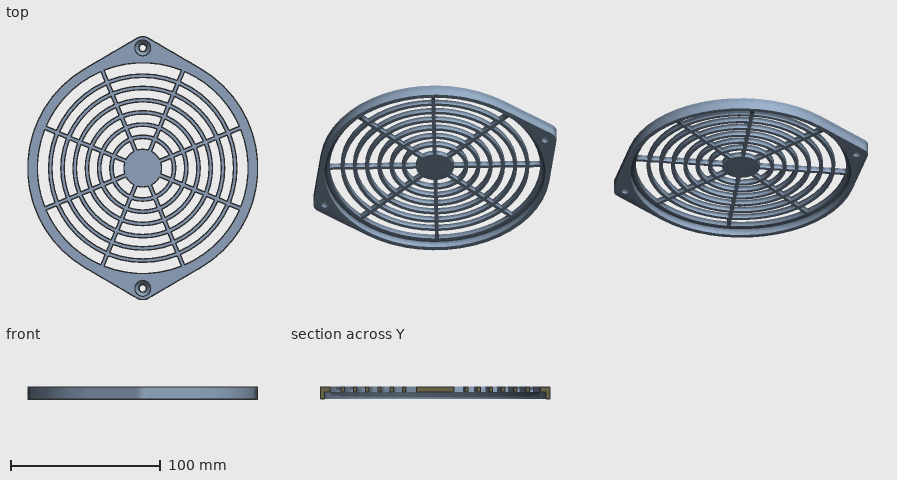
import cadquery as cq
import math

length = 176.0
width = 154.0
thickness = 8.3
frame_radius = width / 2
opening_radius = 70.4
recess_radius = 73.9

ear_radius = 7.5
ear_offset = length / 2 - ear_radius
screw_diameter = 4.8
sink_diameter = 10.5
sink_angle = 90.0

grille_depth = 3.5
hub_radius = 12.7
ring_count = 6
ring_width = 2.5
ring_pitch = 8.18
first_ring_radius = 19.7
spoke_count = 8
spoke_width = 2.5
spoke_overlap = 0.9
grille_bottom = thickness - grille_depth


def make_frame():
    """Round plate whose outline runs tangentially into a rounded ear at each end."""
    tangent_angle = math.acos((frame_radius - ear_radius) / ear_offset)
    normal_x = math.sin(tangent_angle)
    normal_y = math.cos(tangent_angle)
    side_x = frame_radius * normal_x
    side_y = frame_radius * normal_y
    ear_x = ear_radius * normal_x
    ear_y = ear_offset + ear_radius * normal_y
    outline = (
        cq.Workplane("XY")
        .moveTo(side_x, -side_y)
        .threePointArc((frame_radius, 0), (side_x, side_y))
        .lineTo(ear_x, ear_y)
        .threePointArc((0, length / 2), (-ear_x, ear_y))
        .lineTo(-side_x, side_y)
        .threePointArc((-frame_radius, 0), (-side_x, -side_y))
        .lineTo(-ear_x, -ear_y)
        .threePointArc((0, -length / 2), (ear_x, -ear_y))
        .close()
    )
    plate = outline.extrude(thickness)
    opening = cq.Workplane("XY").circle(opening_radius).extrude(thickness)
    recess = cq.Workplane("XY").circle(recess_radius).extrude(grille_bottom)
    return plate.cut(opening).cut(recess)


def drill_ears(frame):
    """Countersunk screw hole through each ear."""
    return (
        frame.faces(">Z")
        .workplane(origin=(0, 0, thickness))
        .pushPoints([(0, ear_offset), (0, -ear_offset)])
        .cskHole(screw_diameter, sink_diameter, sink_angle)
    )


def make_grille():
    """Solid hub, concentric rings and radial spokes."""
    base = cq.Workplane("XY", origin=(0, 0, grille_bottom))
    grille = base.circle(hub_radius).extrude(grille_depth)
    for index in range(ring_count):
        inner_radius = first_ring_radius + index * ring_pitch
        ring = base.circle(inner_radius + ring_width).circle(inner_radius).extrude(grille_depth)
        grille = grille.add(ring)
    grille = grille.combine()
    spoke_step = 360 / spoke_count
    spoke_length = 2 * (opening_radius + spoke_overlap)
    for index in range(spoke_count // 2):
        bar = base.rect(spoke_length, spoke_width).extrude(grille_depth)
        angle = (index + 0.5) * spoke_step
        grille = grille.union(bar.rotate((0, 0, 0), (0, 0, 1), angle))
    return grille


result = drill_ears(make_frame()).union(make_grille())